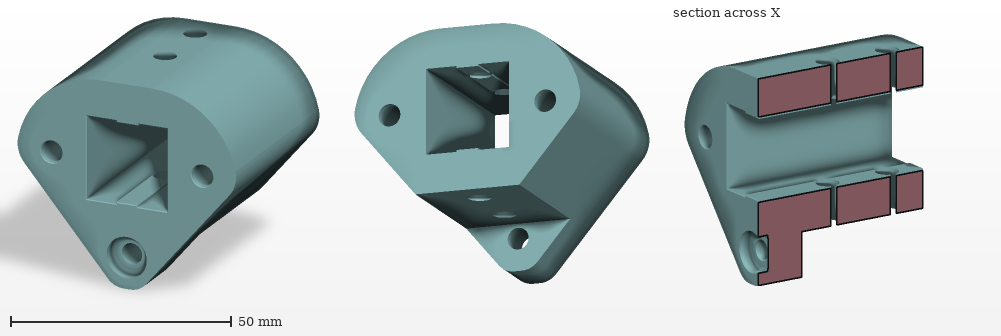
import cadquery as cq
import math

width = 54.6
depth = 45.0
height = 49.4
top_z = 19.2
bottom_z = top_z - height

flat_top_width = 12.95
corner_radius = 7.1
corner_z = 0.95
tip_radius = 5.0
tip_flat_width = 1.75

lug_depth = 12.0
underside_z = -19.1

bore_size = 20.1
rib_width = 5.25
rib_height = 0.45
edge_chamfer = 0.2

side_hole_diameter = 5.25
side_hole_spacing = 37.65
vertical_hole_diameter = 5.45
vertical_hole_depths = (20.7, 36.9)
lug_hole_z = -22.6
lug_hole_diameter = 5.1
counterbore_diameter = 10.0
counterbore_depth = 2.5
seat_diameter = 7.9
seat_cone_depth = 0.3


def mirrored(point):
    return (-point[0], point[1])


def point_on_circle(center, radius, angle):
    return (center[0] + radius * math.cos(angle), center[1] + radius * math.sin(angle))


def make_outline():
    """Closed outline in X and Z, with every arc tangent to its neighbours."""
    half_flat = flat_top_width / 2
    corner = (width / 2 - corner_radius, corner_z)
    tip = (tip_flat_width / 2, bottom_z + tip_radius)

    run = corner[0] - half_flat
    drop = top_z - corner[1]
    shoulder_radius = (run**2 + drop**2 - corner_radius**2) / (2 * (drop - corner_radius))
    shoulder = (half_flat, top_z - shoulder_radius)
    shoulder_angle = math.atan2(corner[1] - shoulder[1], run)

    center_distance = math.dist(corner, tip)
    center_angle = math.atan2(corner[1] - tip[1], corner[0] - tip[0])
    tilt = math.asin((tip_radius - corner_radius) / center_distance)
    flank_angle = center_angle + tilt - math.pi / 2

    flat_end = (half_flat, top_z)
    shoulder_mid = point_on_circle(shoulder, shoulder_radius, (math.pi / 2 + shoulder_angle) / 2)
    shoulder_end = point_on_circle(shoulder, shoulder_radius, shoulder_angle)
    corner_mid = point_on_circle(corner, corner_radius, (shoulder_angle + flank_angle) / 2)
    flank_top = point_on_circle(corner, corner_radius, flank_angle)
    flank_bottom = point_on_circle(tip, tip_radius, flank_angle)

    tip_mid = point_on_circle(tip, tip_radius, (flank_angle - math.pi / 2) / 2)
    tip_end = (tip[0], bottom_z)

    return (
        cq.Workplane("XZ")
        .moveTo(*mirrored(flat_end))
        .lineTo(*flat_end)
        .threePointArc(shoulder_mid, shoulder_end)
        .threePointArc(corner_mid, flank_top)
        .lineTo(*flank_bottom)
        .threePointArc(tip_mid, tip_end)
        .lineTo(*mirrored(tip_end))
        .threePointArc(mirrored(tip_mid), mirrored(flank_bottom))
        .lineTo(*mirrored(flank_top))
        .threePointArc(mirrored(corner_mid), mirrored(shoulder_end))
        .threePointArc(mirrored(shoulder_mid), mirrored(flat_end))
        .close()
    )


def make_body():
    behind_lug = cq.Workplane("XY").box(
        width, depth - lug_depth, underside_z - bottom_z, centered=(True, False, False)
    ).translate((0, lug_depth, bottom_z))
    return make_outline().extrude(-depth).cut(behind_lug)


def make_bore():
    """Bore cutter; the ribs are left standing by two notches in its section."""
    half = bore_size / 2
    half_rib = rib_width / 2
    rib_face = half - rib_height
    upper_half = [(-half, half), (-half_rib, half), (-half_rib, rib_face),
                  (half_rib, rib_face), (half_rib, half), (half, half)]
    lower_half = [(-x, -z) for x, z in upper_half]
    bore = cq.Workplane("XZ").polyline(upper_half + lower_half).close().extrude(-depth)
    return flare_front_end(bore)


def flare_front_end(cutter):
    """Add the sloping lip that chamfers the cutter's edge on the front face."""
    front_wire = cutter.faces("<Y").wires().val()
    wide_wire = front_wire.offset2D(edge_chamfer, "intersection")[0]
    back_wire = front_wire.translate(cq.Vector(0, edge_chamfer, 0))
    lip = cq.Solid.makeLoft([wide_wire, back_wire], True)
    return cutter.union(cq.Workplane(obj=lip))


def make_side_hole(x):
    hole = cq.Workplane("XZ").center(x, 0).circle(side_hole_diameter / 2).extrude(-depth)
    return flare_front_end(hole)


def make_vertical_hole(y):
    return (
        cq.Workplane("XY", origin=(0, y, bottom_z))
        .circle(vertical_hole_diameter / 2)
        .extrude(height)
    )


def make_lug_hole():
    """Through hole with a counterbore that narrows to its seat in a short cone."""
    seat_y = counterbore_depth + seat_cone_depth
    profile = [
        (0, 0),
        (counterbore_diameter / 2, 0),
        (counterbore_diameter / 2, counterbore_depth),
        (seat_diameter / 2, seat_y),
        (lug_hole_diameter / 2, seat_y),
        (lug_hole_diameter / 2, lug_depth),
        (0, lug_depth),
    ]
    cutter = cq.Workplane("XY").polyline(profile).close().revolve(360, (0, 0), (0, 1))
    return cutter.translate((0, 0, lug_hole_z))


result = make_body().cut(make_bore()).cut(make_lug_hole())
for side in (-1, 1):
    result = result.cut(make_side_hole(side * side_hole_spacing / 2))
for hole_y in vertical_hole_depths:
    result = result.cut(make_vertical_hole(hole_y))